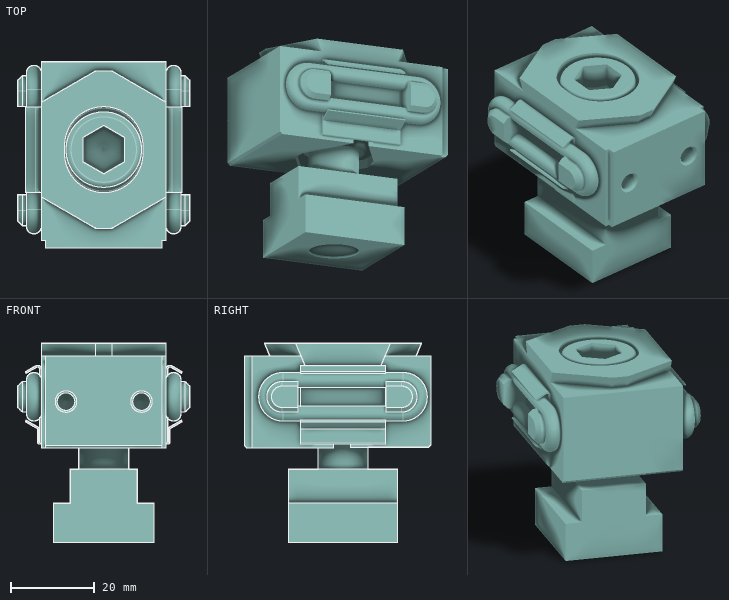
import cadquery as cq
import math

HALF_WIDTH = 14.85
TOP_Z = 47.53
JAW_TOP_Z = 44.5

TIP_HALF_WIDTH = 1.95
SIDE_HALF_LENGTH = 11.3
TIP_ANGLE = 30
TAPER_SLOPE = math.tan(math.radians(20)) / math.cos(math.radians(TIP_ANGLE))
WEDGE_BOTTOM_Z = 24.5
RECESS_RADIUS = 9.35
SHANK_HOLE_RADIUS = 6.5
SLOT_TRAVEL = 1.8
RECESS_FLOOR_FILLET = 0.35

SHANK_RADIUS = 6.0
HEAD_RADIUS = 9.0
HEAD_HEIGHT = 12.0
HEAD_TOP_Z = TOP_Z
HEAD_FILLET = 1.2
SCREW_LENGTH = 35.0
KEY_WIDTH = 10.0
KEY_DEPTH = 6.0
DRILL_TIP_ANGLE = 59

NUT_LENGTH = 26.0
FOOT_WIDTH = 24.0
NECK_WIDTH = 16.0
FOOT_HEIGHT = 9.4
NUT_HEIGHT = 17.5

JAW_CENTRE_Y = -0.25
JAW_HALF_GAP = 2.0
FRONT_Y = -23.5
REAR_Y = 21.0
FRONT_BOTTOM_Z = 22.5
REAR_BOTTOM_Z = 22.7
STEP_WIDTH = 0.95
STEP_LENGTH = 1.8
JAW_CHAMFER = 0.6
SCREW_HOLE_SPACING = 18.0
SCREW_HOLE_Z = 33.6
SCREW_HOLE_RADIUS = 2.1
SCREW_HOLE_DEPTH = 8.0
COUNTERSINK_RADIUS = 2.55

RING_Z = 34.75
CORD_RADIUS = 1.8
RING_BEND_RADIUS = 4.0
RING_HALF_STRAIGHT = 14.3
RING_X = HALF_WIDTH + CORD_RADIUS
PEG_END_X = 20.5
PEG_OFFSET = 14.25
PEG_RADIUS = 3.65
PEG_CHAMFER = 1.1
PEG_FLAT = 3.75

CLIP_LENGTH = 20.35
SHEET = 0.43
HEM_GAP = 0.06
CLIP_TOP_Z = 42.26
CLIP_BOTTOM_Z = 23.45
CLIP_BEND_RADIUS = 0.5
LIP_ANGLE = 30
LIP_END_X = 18.7
LOWER_LIP_Z = 27.1


def hexagon(z, side_half_length, centre_y=0.0):
    """Wire of the wedge outline at height z."""
    tip_y = side_half_length + (HALF_WIDTH - TIP_HALF_WIDTH) * math.tan(math.radians(TIP_ANGLE))
    quarter = [(HALF_WIDTH, side_half_length), (TIP_HALF_WIDTH, tip_y)]
    rear = quarter + [(-x, y) for x, y in reversed(quarter)]
    front = [(-x, -y) for x, y in rear]
    points = [cq.Vector(x, y + centre_y, z) for x, y in rear + front]
    return cq.Wire.makePolygon(points, close=True)


def tapered_hexagon():
    bottom_half_length = SIDE_HALF_LENGTH - TAPER_SLOPE * (TOP_Z - WEDGE_BOTTOM_Z)
    wires = [hexagon(WEDGE_BOTTOM_Z, bottom_half_length), hexagon(TOP_Z, SIDE_HALF_LENGTH)]
    return cq.Workplane(obj=cq.Solid.makeLoft(wires, True))


def y_slot(radius, z_from, z_to):
    slot = cq.Workplane("XY").workplane(offset=z_from)
    return slot.slot2D(SLOT_TRAVEL + 2 * radius, 2 * radius, 90).extrude(z_to - z_from)


def make_wedge():
    recess = y_slot(RECESS_RADIUS, HEAD_TOP_Z - HEAD_HEIGHT, TOP_Z)
    recess = recess.faces("<Z").edges().fillet(RECESS_FLOOR_FILLET)
    shank_hole = y_slot(SHANK_HOLE_RADIUS, WEDGE_BOTTOM_Z, TOP_Z)
    return tapered_hexagon().cut(recess).cut(shank_hole)


def key_socket():
    """Hexagon socket whose whole floor is a drilled cone."""
    corner_radius = KEY_WIDTH / 2 / math.cos(math.pi / 6)
    depth_at_centre = KEY_DEPTH + corner_radius / math.tan(math.radians(DRILL_TIP_ANGLE))
    prism = (
        cq.Workplane("XY", origin=(0, 0, HEAD_TOP_Z))
        .transformed(rotate=(0, 0, 90))
        .polygon(6, 2 * corner_radius).extrude(-depth_at_centre)
    )
    rim_depth = depth_at_centre - HEAD_RADIUS / math.tan(math.radians(DRILL_TIP_ANGLE))
    drilled = (
        cq.Workplane("XZ", origin=(0, 0, HEAD_TOP_Z))
        .polyline([(0, 0), (HEAD_RADIUS, 0), (HEAD_RADIUS, -rim_depth), (0, -depth_at_centre)])
        .close().revolve(360, (0, 0, 0), (0, 1, 0))
    )
    return prism.intersect(drilled)


def make_screw():
    head_bottom = cq.Workplane("XY", origin=(0, 0, HEAD_TOP_Z - HEAD_HEIGHT))
    head = head_bottom.circle(HEAD_RADIUS).extrude(HEAD_HEIGHT).faces(">Z").edges().fillet(HEAD_FILLET)
    shank = head_bottom.circle(SHANK_RADIUS).extrude(-SCREW_LENGTH)
    return head.union(shank).cut(key_socket())


def make_t_nut():
    foot = cq.Workplane("XY").box(FOOT_WIDTH, NUT_LENGTH, FOOT_HEIGHT, centered=(True, True, False))
    neck = cq.Workplane("XY").box(NECK_WIDTH, NUT_LENGTH, NUT_HEIGHT, centered=(True, True, False))
    thread_hole = cq.Workplane("XY").circle(SHANK_RADIUS).extrude(NUT_HEIGHT)
    return foot.union(neck).cut(thread_hole)


def seat():
    """Space between the jaws: the wedge's own taper above a straight-walled gap."""
    gap_wire = hexagon(0, JAW_HALF_GAP, JAW_CENTRE_Y)
    gap = cq.Workplane(obj=cq.Solid.extrudeLinear(gap_wire, [], cq.Vector(0, 0, TOP_Z)))
    return gap.union(tapered_hexagon())


def cord_loop():
    """Endless round cord on the +X flank, two straights joined by half turns."""
    end_y = RING_HALF_STRAIGHT + RING_BEND_RADIUS
    path = (
        cq.Workplane("YZ", origin=(RING_X, 0, RING_Z))
        .moveTo(-RING_HALF_STRAIGHT, RING_BEND_RADIUS)
        .lineTo(RING_HALF_STRAIGHT, RING_BEND_RADIUS)
        .threePointArc((end_y, 0), (RING_HALF_STRAIGHT, -RING_BEND_RADIUS))
        .lineTo(-RING_HALF_STRAIGHT, -RING_BEND_RADIUS)
        .threePointArc((-end_y, 0), (-RING_HALF_STRAIGHT, RING_BEND_RADIUS))
        .close()
    )
    section = cq.Workplane("XZ", origin=(RING_X, -RING_HALF_STRAIGHT, RING_Z + RING_BEND_RADIUS))
    return section.circle(CORD_RADIUS).sweep(path)


def make_peg(side, end):
    """Peg on a jaw flank, grooved for its ring; side is the X sign and end the Y sign."""
    peg = (
        cq.Workplane("YZ", origin=(HALF_WIDTH, 0, 0))
        .moveTo(-PEG_FLAT, -PEG_RADIUS).lineTo(0, -PEG_RADIUS)
        .threePointArc((PEG_RADIUS, 0), (0, PEG_RADIUS))
        .lineTo(-PEG_FLAT, PEG_RADIUS).close()
        .extrude(PEG_END_X - HALF_WIDTH)
    )
    peg = peg.faces(">X").edges("not <Y").chamfer(PEG_CHAMFER)
    if end < 0:
        peg = peg.mirror("XZ")
    peg = peg.translate((0, JAW_CENTRE_Y + end * PEG_OFFSET, RING_Z)).cut(cord_loop())
    if side < 0:
        peg = peg.mirror("YZ")
    return peg


def make_jaw(end):
    outer_y, bottom_z = (FRONT_Y, FRONT_BOTTOM_Z) if end < 0 else (REAR_Y, REAR_BOTTOM_Z)
    inner_y = JAW_CENTRE_Y + end * JAW_HALF_GAP
    length = abs(outer_y - inner_y)
    jaw = (
        cq.Workplane("XY")
        .box(2 * HALF_WIDTH, length, JAW_TOP_Z - bottom_z, centered=(True, True, False))
        .translate((0, (outer_y + inner_y) / 2, bottom_z))
    )
    outer_face = "<Y" if end < 0 else ">Y"
    if end < 0:
        for side in (-1, 1):
            corner = cq.Workplane("XY").box(2 * STEP_WIDTH, 2 * STEP_LENGTH, 2 * TOP_Z)
            jaw = jaw.cut(corner.translate((side * HALF_WIDTH, FRONT_Y, 0)))
    jaw = jaw.faces(outer_face).edges("<Z").chamfer(JAW_CHAMFER)
    jaw = jaw.cut(seat())
    for side in (-1, 1):
        jaw = jaw.union(make_peg(side, end))
    return jaw


def screw_hole(x):
    """Countersunk blind hole, drilled in +Y from the front face."""
    sink_depth = COUNTERSINK_RADIUS - SCREW_HOLE_RADIUS
    tip_depth = SCREW_HOLE_RADIUS / math.tan(math.radians(DRILL_TIP_ANGLE))
    return (
        cq.Workplane("XY")
        .polyline([
            (0, 0), (COUNTERSINK_RADIUS, 0), (SCREW_HOLE_RADIUS, sink_depth),
            (SCREW_HOLE_RADIUS, SCREW_HOLE_DEPTH), (0, SCREW_HOLE_DEPTH + tip_depth),
        ])
        .close()
        .revolve(360, (0, 0, 0), (0, 1, 0))
        .translate((x, FRONT_Y, SCREW_HOLE_Z))
    )


def make_front_jaw():
    jaw = make_jaw(-1)
    for side in (-1, 1):
        jaw = jaw.cut(screw_hole(side * SCREW_HOLE_SPACING / 2))
    return jaw


def make_clip():
    """Spring clip on the +X flank: top lip, back plate, hem and lower lip."""
    cos_lip = math.cos(math.radians(LIP_ANGLE))
    sin_lip = math.sin(math.radians(LIP_ANGLE))
    tan_lip = math.tan(math.radians(LIP_ANGLE))
    plate_x = HALF_WIDTH + SHEET
    leaf_x = plate_x + HEM_GAP
    leaf_outer_x = leaf_x + SHEET
    hem_radius = (leaf_outer_x - HALF_WIDTH) / 2
    hem_x = HALF_WIDTH + hem_radius
    hem_z = CLIP_BOTTOM_Z + hem_radius
    bend_outer = CLIP_BEND_RADIUS + SHEET
    bend_x = HALF_WIDTH + bend_outer
    bend_z = CLIP_TOP_Z - bend_outer

    def bend_point(radius, angle):
        turn = math.radians(angle)
        return (bend_x + radius * math.cos(turn), bend_z + radius * math.sin(turn))

    lip_angle_on_bend = 90 - LIP_ANGLE
    mid_angle = (180 + lip_angle_on_bend) / 2
    outer_end = bend_point(bend_outer, lip_angle_on_bend)
    inner_end = bend_point(CLIP_BEND_RADIUS, lip_angle_on_bend)
    top_run = LIP_END_X - outer_end[0]
    top_tip = (LIP_END_X, outer_end[1] - top_run * tan_lip)
    lower_tip = (LIP_END_X, LOWER_LIP_Z + (LIP_END_X - leaf_outer_x) * tan_lip)
    inner_corner_z = LOWER_LIP_Z + SHEET / cos_lip - SHEET * tan_lip

    profile = (
        cq.Workplane("XZ")
        .moveTo(HALF_WIDTH, hem_z)
        .lineTo(HALF_WIDTH, bend_z)
        .threePointArc(bend_point(bend_outer, mid_angle), outer_end)
        .lineTo(*top_tip)
        .lineTo(top_tip[0] - SHEET * sin_lip, top_tip[1] - SHEET * cos_lip)
        .lineTo(*inner_end)
        .threePointArc(bend_point(CLIP_BEND_RADIUS, mid_angle), (plate_x, bend_z))
        .lineTo(plate_x, hem_z)
        .threePointArc((hem_x, hem_z - HEM_GAP / 2), (leaf_x, hem_z))
        .lineTo(leaf_x, inner_corner_z)
        .lineTo(lower_tip[0] - SHEET * sin_lip, lower_tip[1] + SHEET * cos_lip)
        .lineTo(*lower_tip)
        .lineTo(leaf_outer_x, LOWER_LIP_Z)
        .lineTo(leaf_outer_x, hem_z)
        .threePointArc((hem_x, CLIP_BOTTOM_Z), (HALF_WIDTH, hem_z))
        .close()
    )
    return profile.extrude(CLIP_LENGTH / 2, both=True)


def make_ring():
    """Retaining ring on the +X flank, flattened where it lies over the clip's back plate."""
    return cord_loop().cut(make_clip())


wedge = make_wedge()
screw = make_screw()
t_nut = make_t_nut()
front_jaw = make_front_jaw()
rear_jaw = make_jaw(1)
clips = [make_clip(), make_clip().mirror("YZ")]
rings = [make_ring(), make_ring().mirror("YZ")]

bodies = [wedge, screw, t_nut, front_jaw, rear_jaw] + clips + rings
result = cq.Compound.makeCompound([body.solids().val() for body in bodies])